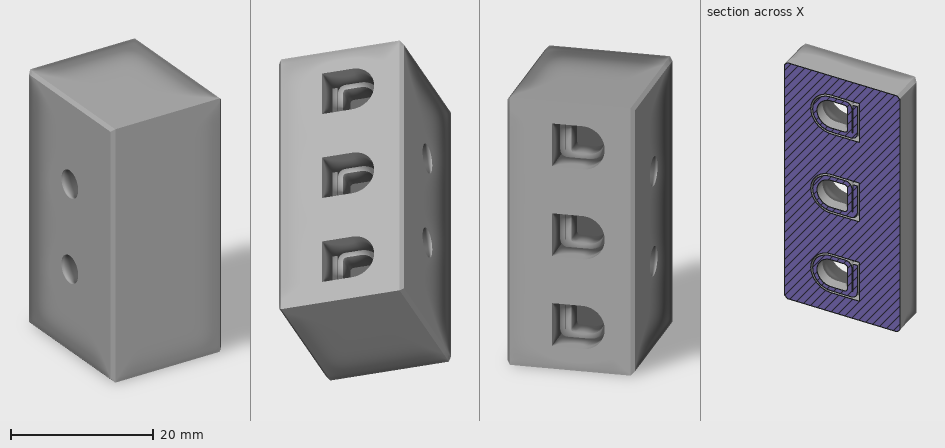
import cadquery as cq

WIDTH = 22.0
DEPTH = 18.5
HEIGHT = 40.0
CHAMFER = 0.5

TERMINAL_COUNT = 3
TERMINAL_PITCH = 13.45
MOUNTING_HOLE_DIAMETER = 4.3

POCKET_RADIUS = 3.25
POCKET_ARC_Y = -1.75
POCKET_BACK_Y = 2.7
POCKET_DEPTH = 7.0

CLAMP_RECESS = 3.75
CLAMP_CLEARANCE = 0.25
SHEET = 0.75
SHEET_GAP = 0.1
INNER_BEND_RADIUS = 0.5
OUTER_BEND_RADIUS = 1.1
FLAP_TOP_Z = 2.7
SLIT_BOTTOM_Z = -1.95

CLAMP_RADIUS = POCKET_RADIUS - CLAMP_CLEARANCE
BORE_RADIUS = CLAMP_RADIUS - SHEET

FLAP_BACK_Y = POCKET_BACK_Y - CLAMP_CLEARANCE
FLAP_FRONT_Y = FLAP_BACK_Y - SHEET
CLAMP_BACK_Y = FLAP_FRONT_Y - SHEET_GAP
BORE_BACK_Y = CLAMP_BACK_Y - SHEET

FACE_X = -WIDTH / 2
CLAMP_X = FACE_X + CLAMP_RECESS
FLOOR_X = FACE_X + POCKET_DEPTH


def d_prism(back_y, radius, x_start, x_end):
    """D-shaped prism along X: flat at back_y and a half circle towards -Y."""
    return (
        cq.Workplane("YZ", origin=(x_start, 0, 0))
        .moveTo(back_y, radius)
        .lineTo(POCKET_ARC_Y, radius)
        .threePointArc((POCKET_ARC_Y - radius, 0), (POCKET_ARC_Y, -radius))
        .lineTo(back_y, -radius)
        .close()
        .extrude(x_end - x_start)
    )


def yz_block(y_min, y_max, z_min, z_max):
    """Block over the clamp length with the given Y and Z limits."""
    length = FLOOR_X - CLAMP_X
    block = cq.Workplane("XY").box(length, y_max - y_min, z_max - z_min, centered=False)
    return block.translate((CLAMP_X, y_min, z_min))


def make_clamp():
    """Sheet bent into a D tube, with its end lapped up behind the flat wall."""
    tube = d_prism(CLAMP_BACK_Y, CLAMP_RADIUS, CLAMP_X, FLOOR_X)
    tube = tube.edges("|X and >Y and >Z").fillet(OUTER_BEND_RADIUS)
    flap = yz_block(POCKET_ARC_Y, FLAP_BACK_Y, -CLAMP_RADIUS, FLAP_TOP_Z)
    flap = flap.edges("|X and >Y and <Z").fillet(OUTER_BEND_RADIUS)
    flap_inside = yz_block(POCKET_ARC_Y, FLAP_FRONT_Y, SLIT_BOTTOM_Z, CLAMP_RADIUS)
    flap = flap.cut(flap_inside)
    bore = d_prism(BORE_BACK_Y, BORE_RADIUS, CLAMP_X, FLOOR_X)
    bore = bore.edges("|X and >Y").fillet(INNER_BEND_RADIUS)
    return tube.union(flap).cut(bore)


def make_body():
    """Plain block with chamfered edges all around its -Y and +Y faces."""
    body = cq.Workplane("XY").box(WIDTH, DEPTH, HEIGHT)
    return body.faces("<Y or >Y").edges().chamfer(CHAMFER)


pocket = d_prism(POCKET_BACK_Y, POCKET_RADIUS, FACE_X, FLOOR_X)
terminal_cavity = pocket.cut(make_clamp())
mounting_hole = cq.Workplane("XZ").circle(MOUNTING_HOLE_DIAMETER / 2).extrude(DEPTH / 2, both=True)

result = make_body()

lowest_terminal_z = -TERMINAL_PITCH * (TERMINAL_COUNT - 1) / 2
for index in range(TERMINAL_COUNT):
    terminal_z = lowest_terminal_z + index * TERMINAL_PITCH
    result = result.cut(terminal_cavity.translate((0, 0, terminal_z)))

for index in range(TERMINAL_COUNT - 1):
    hole_z = lowest_terminal_z + (index + 0.5) * TERMINAL_PITCH
    result = result.cut(mounting_hole.translate((0, 0, hole_z)))